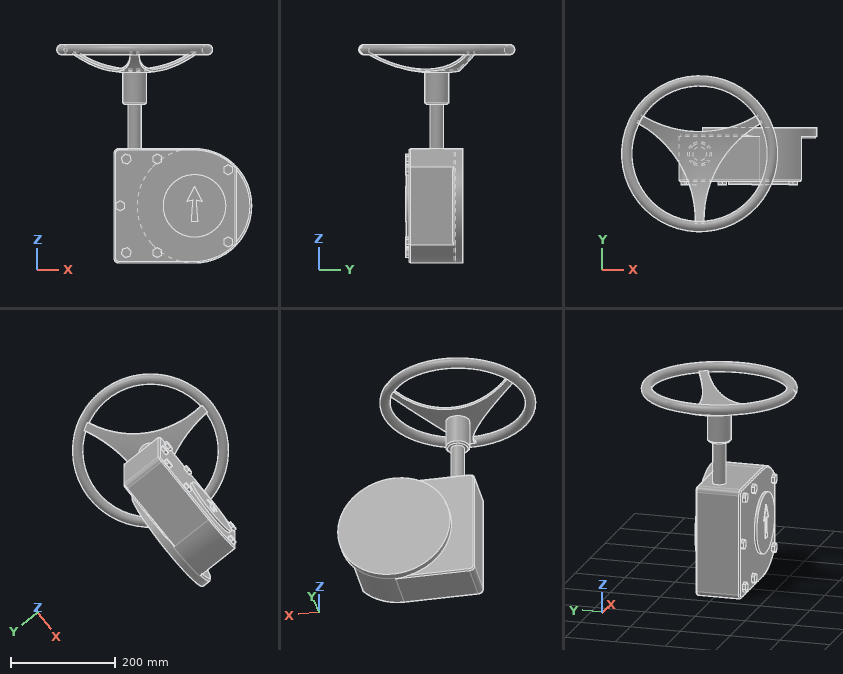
import cadquery as cq
import math


GEAR_RADIUS = 110.0
GEAR_X = 115.0
HOUSING_LEFT_X = -40.0
HOUSING_FRONT_Y = -53.8
HOUSING_BACK_Y = 35.5
FLAT_OFFSET = 80.5
CORNER_RADIUS = 10.0
HOUSING_CHAMFER = 3.0
FLANGE_FRONT_Y = 30.0
FLANGE_BACK_Y = 50.5
FLANGE_CHAMFER = 3.8

COVER_RADIUS = 60.0
COVER_HEIGHT = 5.0
ARROW_HEIGHT = 1.3
ARROW_TIP = 37.5
ARROW_BARB = 8.5
ARROW_NECK = 11.0
ARROW_TAIL = -30.0
ARROW_BARB_HALF_WIDTH = 14.5
ARROW_NECK_HALF_WIDTH = 3.5
ARROW_TAIL_HALF_WIDTH = 6.5

BOLT_SIDES = 6
BOLT_ACROSS_FLATS = 17.0
BOLT_HEAD_HEIGHT = 6.0
POINT_UP_TURN = 30
CORNER_BOLT_TWIST = 15
CORNER_BOLT = (-131.0, 90.0)
SIDE_BOLT = (-71.5, 90.0)
ROUND_END_BOLT = (64.5, 69.5)
LEFT_BOLT_OFFSET = -143.0

SHAFT_RADIUS = 13.0

OVERALL_HEIGHT = 420.0
WHEEL_RADIUS = 150.0
RIM_TUBE_RADIUS = 10.0
HUB_RADIUS = 23.0
HUB_BOTTOM_Z = 304.5
HUB_CHAMFER = 3.5
DISH_BOTTOM_Z = 364.5
DISH_RADIUS = 258.0
DISH_THICKNESS = 4.5
SPOKE_COUNT = 3
WEB_EDGE_DISTANCE = 43.0
SCALLOP_RADIUS = 213.0

GEAR_Z = GEAR_RADIUS
HOUSING_TOP_Z = 2 * GEAR_RADIUS
RIM_CENTRE_RADIUS = WHEEL_RADIUS - RIM_TUBE_RADIUS
RIM_CENTRE_Z = OVERALL_HEIGHT - RIM_TUBE_RADIUS
DISH_CENTRE_Z = DISH_BOTTOM_Z + DISH_RADIUS


def facing_front(y):
    """Sketch plane on the gear axis at the given Y; local X is +X, local Y is +Z, normal is -Y."""
    return cq.Workplane("XZ", origin=(GEAR_X, y, GEAR_Z))


def housing_case():
    depth = HOUSING_BACK_Y - HOUSING_FRONT_Y
    block_length = GEAR_X - HOUSING_LEFT_X
    block = (
        facing_front(HOUSING_BACK_Y)
        .center(-block_length / 2, 0)
        .rect(block_length, HOUSING_TOP_Z)
        .extrude(depth)
        .edges("|Y and <X").fillet(CORNER_RADIUS)
        .faces(">Y").edges("not >X").chamfer(HOUSING_CHAMFER)
    )
    flat_half_height = math.sqrt(GEAR_RADIUS**2 - FLAT_OFFSET**2)
    flat_angle = math.atan2(flat_half_height, FLAT_OFFSET)
    middle_angle = (math.pi / 2 + flat_angle) / 2
    mid_x = GEAR_RADIUS * math.cos(middle_angle)
    mid_z = GEAR_RADIUS * math.sin(middle_angle)
    round_end = (
        facing_front(HOUSING_BACK_Y)
        .moveTo(0, -GEAR_RADIUS)
        .threePointArc((mid_x, -mid_z), (FLAT_OFFSET, -flat_half_height))
        .lineTo(FLAT_OFFSET, flat_half_height)
        .threePointArc((mid_x, mid_z), (0, GEAR_RADIUS))
        .close()
        .extrude(depth)
    )
    return block.union(round_end).faces("<Y").edges().chamfer(HOUSING_CHAMFER)


def mounting_flange():
    return (
        facing_front(FLANGE_BACK_Y)
        .circle(GEAR_RADIUS)
        .extrude(FLANGE_BACK_Y - FLANGE_FRONT_Y)
        .faces("<Y").chamfer(FLANGE_CHAMFER)
    )


def cover_with_arrow():
    cover = facing_front(HOUSING_FRONT_Y).circle(COVER_RADIUS).extrude(COVER_HEIGHT)
    right_side = [
        (ARROW_BARB_HALF_WIDTH, ARROW_BARB),
        (ARROW_NECK_HALF_WIDTH, ARROW_NECK),
        (ARROW_TAIL_HALF_WIDTH, ARROW_TAIL),
    ]
    left_side = [(-x, z) for x, z in reversed(right_side)]
    arrow = (
        facing_front(HOUSING_FRONT_Y - COVER_HEIGHT)
        .polyline([(0, ARROW_TIP)] + right_side + left_side)
        .close()
        .extrude(ARROW_HEIGHT)
    )
    return cover.union(arrow)


def bolt_head(x_offset, z_offset, twist=0):
    """Hexagonal head with a corner pointing up, turned by twist degrees."""
    across_corners = BOLT_ACROSS_FLATS / math.cos(math.pi / BOLT_SIDES)
    head = (
        cq.Workplane("XZ")
        .polygon(BOLT_SIDES, across_corners)
        .extrude(BOLT_HEAD_HEIGHT)
        .rotate((0, 0, 0), (0, -1, 0), POINT_UP_TURN + twist)
    )
    return head.translate((GEAR_X + x_offset, HOUSING_FRONT_Y, GEAR_Z + z_offset))


def make_gearbox():
    """Housing with its flange, cover, bolt heads and input shaft."""
    gearbox = housing_case().union(mounting_flange()).union(cover_with_arrow())
    paired_bolts = ((CORNER_BOLT, CORNER_BOLT_TWIST), (SIDE_BOLT, 0), (ROUND_END_BOLT, 0))
    for side in (1, -1):
        for (x, z), twist in paired_bolts:
            gearbox = gearbox.union(bolt_head(x, side * z, side * twist))
    gearbox = gearbox.union(bolt_head(LEFT_BOLT_OFFSET, 0))
    shaft = (
        cq.Workplane("XY", origin=(0, 0, GEAR_Z))
        .circle(SHAFT_RADIUS)
        .extrude(HUB_BOTTOM_Z - GEAR_Z)
    )
    return gearbox.union(shaft)


def wheel_rim():
    return (
        cq.Workplane("XZ")
        .center(RIM_CENTRE_RADIUS, RIM_CENTRE_Z)
        .circle(RIM_TUBE_RADIUS)
        .revolve(360, (-RIM_CENTRE_RADIUS, 0), (-RIM_CENTRE_RADIUS, 1))
    )


def dish_ball(radius):
    return cq.Workplane("XY", origin=(0, 0, DISH_CENTRE_Z)).sphere(radius)


def wheel_column(radius, bottom_z):
    """Cylinder on the wheel axis, from bottom_z up to the level of the rim centre."""
    return cq.Workplane("XY", origin=(0, 0, bottom_z)).circle(radius).extrude(RIM_CENTRE_Z - bottom_z)


def spoke_web():
    """Thin spherical dish whose three scalloped edges leave three spokes."""
    web = wheel_column(RIM_CENTRE_RADIUS, DISH_BOTTOM_Z).intersect(dish_ball(DISH_RADIUS))
    web = web.cut(dish_ball(DISH_RADIUS - DISH_THICKNESS))
    scallop = (
        cq.Workplane("XY", origin=(0, WEB_EDGE_DISTANCE + SCALLOP_RADIUS, DISH_BOTTOM_Z))
        .circle(SCALLOP_RADIUS)
        .extrude(OVERALL_HEIGHT - DISH_BOTTOM_Z)
    )
    for i in range(SPOKE_COUNT):
        web = web.cut(scallop.rotate((0, 0, 0), (0, 0, 1), i * 360 / SPOKE_COUNT))
    return web


def wheel_hub():
    """Cylinder that ends against the inside of the dish wall."""
    hub = wheel_column(HUB_RADIUS, HUB_BOTTOM_Z).faces("<Z").chamfer(HUB_CHAMFER)
    return hub.cut(dish_ball(DISH_RADIUS - DISH_THICKNESS))


def make_handwheel():
    return wheel_hub().union(spoke_web()).union(wheel_rim())


gearbox = make_gearbox()
handwheel = make_handwheel()
result = cq.Compound.makeCompound([gearbox.val(), handwheel.val()])